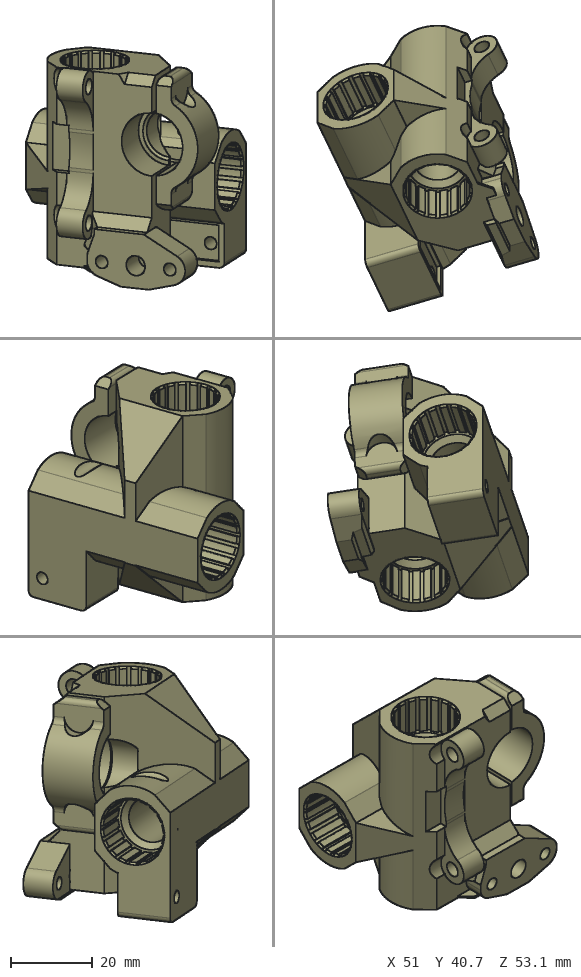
import cadquery as cq
import math


tube_radius = 11.65
tube_flat = 10.0
tube_bevel = 11.25
through_radius = 5.75
socket_radius = 8.45
socket_depth = 10.0
socket_floor_radius = 7.25
rib_count = 18
rib_width = 1.85
rib_height = 0.55

tube_length = 50.0
block_rear = 40.65
tube_y = block_rear - tube_flat
tube_z = 22.3
tube_front = tube_y - tube_flat

block_right = 39.05
block_bottom = 2.3
block_top = 52.35
vertical_y = 16.75
vertical_x = tube_front + tube_bevel * math.sqrt(2) - vertical_y
block_front = vertical_y - tube_flat
wedge_start = vertical_y + tube_flat
wedge_drop = block_rear - wedge_start
wedge_left = 18.3
wedge_right = 21.5
wedge_foot_left = vertical_x - (tube_bevel * math.sqrt(2) - tube_flat)
slope_front = 18.6

gusset_root_half = tube_bevel * math.sqrt(2) - tube_flat
gusset_tip_half = 2.1
bevel_far_y = vertical_y - (tube_bevel - math.sqrt(tube_radius**2 - tube_bevel**2)) / math.sqrt(2)

bore_x = block_right
bore_z = 35.4
bore_radius = 7.95
shoulder_y = 17.55
shoulder_radius = 6.8
relief_radius = 6.1
relief_end = 25.25
tube_notch_y = 22.85
tube_slot_radius = 2.5

clamp_left = 40.0
clamp_outer_radius = 11.95
clamp_front = 7.25
clamp_rear = 20.6
tab_thickness = 4.0
tab_reach = block_top - bore_z
tab_blend = 2.0
tab_round = 1.45
tab_end_drop = 1.9
tab_end_run = 2.4
bolt_offset = 12.55
bolt_seat_radius = 3.9

loop_left = 16.65
loop_width = 6.9
loop_radius = 4.0
loop_hole_radius = 1.94
loop_top_z = 53.15 - loop_radius
loop_bottom_z = 14.55
loop_mid_z = (loop_top_z + loop_bottom_z) / 2
loop_y = loop_radius
web_radius = 10.0
web_arc_offset = 5.395
hollow_radius = 19.4
hollow_depth = 0.55
notch_left = 11.7
notch_right = 17.15
notch_height = 12.1
notch_floor_y = 8.6

corner_left = 30.3
corner_full = 31.9
corner_size = 2.4

lever_front = 1.7
lever_step = 3.8
lever_rear = 9.55
lever_top = 13.85
lever_shoulder_x = 25.9
lever_shoulder_z = 12.45
lever_tip_z = 7.3
lever_hole_z = 5.75
lever_left_x = 27.9
lever_mid_x = 36.9
lever_right_x = 45.9
lever_left_radius = 3.9
lever_right_radius = 4.05
lever_flat_left = 32.95
lever_flat_right = 40.4
pin_hole_radius = 1.6
pivot_hole_radius = 2.5
flare = block_front - lever_step
flare_left_shift = 2.85
flare_tip_rise = 0.7
slot_floor_thickness = 0.55
boss_front = 6.3

foot_left = 32.95
foot_round = 1.5
foot_recess_margin = 1.55
foot_recess_top = 10.85
foot_recess_depth = 1.05


def along_x(x):
    """Sketch plane facing +X: local axes are Y and Z."""
    return cq.Workplane("YZ", origin=(x, 0, 0))


def prism_y(sketch, depth):
    """Extrude an XZ sketch toward +Y."""
    return sketch.extrude(-depth)


def along_y(y):
    """Sketch plane for features running along Y: local axes are X and Z."""
    return cq.Workplane("XZ", origin=(0, y, 0))


def box(x0, x1, y0, y1, z0, z1):
    return cq.Workplane("XY").box(x1 - x0, y1 - y0, z1 - z0, centered=False).translate((x0, y0, z0))


def rod_tube(length):
    """Tube blank along +Z, flats facing +Y and -Y."""
    blank = cq.Workplane("XY").circle(tube_radius).extrude(length)
    flats = cq.Workplane("XY").rect(2 * tube_radius, 2 * tube_flat).extrude(length)
    bevels = cq.Workplane("XY").transformed(rotate=(0, 0, 45)).rect(2 * tube_bevel, 2 * tube_bevel).extrude(length)
    return blank.intersect(flats).intersect(bevels)


def ribbed_socket():
    """Void of one ribbed socket, opening at Z = 0 and going down, with a conical floor."""
    void = cq.Workplane("XY").circle(socket_radius).extrude(-socket_depth)
    rib_inner = socket_radius - rib_height
    ring = (
        cq.Workplane("XY").workplane(offset=-socket_depth)
        .circle(socket_radius + rib_height).circle(rib_inner)
        .extrude(socket_depth)
    )
    lead_in = (
        cq.Workplane("XY").workplane(offset=-rib_height)
        .add(cq.Solid.makeCone(rib_inner, socket_radius, rib_height, cq.Vector(0, 0, -rib_height)))
    )
    ribs = (
        cq.Workplane("XY").workplane(offset=-socket_depth)
        .polarArray(socket_radius, 90, 360, rib_count)
        .rect(4 * rib_height, rib_width)
        .extrude(socket_depth)
        .intersect(ring)
        .cut(lead_in)
    )
    cone_height = socket_floor_radius - through_radius
    cone = cq.Workplane("XY").add(
        cq.Solid.makeCone(through_radius, socket_floor_radius, cone_height,
                          cq.Vector(0, 0, -socket_depth - cone_height))
    )
    return void.cut(ribs).union(cone)


def rod_bore(length):
    """Void along +Z for a whole rod: a through hole with a ribbed socket at each end."""
    hole = cq.Workplane("XY").circle(through_radius).extrude(length)
    top = ribbed_socket().translate((0, 0, length))
    bottom = ribbed_socket().mirror("XY")
    return hole.union(top).union(bottom)


def lay_along_x(body):
    """Turn a body built along +Z onto the horizontal rod axis."""
    return body.rotate((0, 0, 0), (0, 1, 0), 90).translate((0, tube_y, tube_z))


def stand_on_block(body):
    return body.translate((vertical_x, vertical_y, block_bottom))


def main_block():
    height = block_top - block_bottom
    body = stand_on_block(rod_tube(height))
    plan = (
        cq.Workplane("XY", origin=(0, 0, block_bottom))
        .polyline([
            (vertical_x, block_front),
            (block_right, block_front),
            (block_right, slope_front),
            (wedge_right, block_rear),
            (wedge_left, block_rear),
            (wedge_foot_left, wedge_start),
            (vertical_x, vertical_y),
        ])
        .close()
        .extrude(height)
    )
    side = (
        along_x(0)
        .polyline([
            (block_front, block_bottom),
            (wedge_start, block_bottom),
            (block_rear, block_bottom + wedge_drop),
            (block_rear, block_top - wedge_drop),
            (wedge_start, block_top),
            (block_front, block_top),
        ])
        .close()
        .extrude(tube_length)
    )
    body = body.union(plan.intersect(side))
    relief = prism_y(along_y(0).center(bore_x, bore_z).circle(relief_radius), relief_end)
    seat = prism_y(along_y(0).center(bore_x, bore_z).circle(bore_radius), shoulder_y)
    throat_depth = shoulder_radius - relief_radius
    throat = cq.Workplane("XY").add(
        cq.Solid.makeCone(shoulder_radius, relief_radius, throat_depth,
                          cq.Vector(bore_x, shoulder_y, bore_z), cq.Vector(0, 1, 0))
    )
    return body.cut(relief).cut(seat).cut(throat)


def horizontal_tube():
    body = lay_along_x(rod_tube(tube_length))
    notch = prism_y(along_y(0).center(bore_x, bore_z).circle(bore_radius), tube_notch_y)
    slot = prism_y(along_y(0).center(bore_x, bore_z).circle(tube_slot_radius), block_rear)
    return body.cut(notch).cut(slot)


def gusset():
    side = (
        along_x(0)
        .polyline([
            (tube_y, tube_z - gusset_root_half),
            (tube_front, tube_z - gusset_root_half),
            (bevel_far_y, tube_z - gusset_tip_half),
            (bevel_far_y, tube_z + gusset_tip_half),
            (tube_front, tube_z + gusset_root_half),
            (tube_y, tube_z + gusset_root_half),
        ])
        .close()
        .extrude(vertical_x)
    )
    plan = (
        cq.Workplane("XY")
        .polyline([
            (0, tube_front),
            (tube_front - bevel_far_y, bevel_far_y),
            (vertical_x, bevel_far_y),
            (vertical_x, tube_y),
            (0, tube_y),
        ])
        .close()
        .extrude(block_top)
    )
    return side.intersect(plan)


def foot():
    body = box(foot_left, tube_length, wedge_start, block_rear, 0, tube_z)
    body = body.edges("|Y and <Z").fillet(foot_round)
    recess = box(
        foot_left + foot_recess_margin, tube_length - foot_recess_margin,
        wedge_start, wedge_start + foot_recess_depth,
        foot_recess_margin, foot_recess_top,
    )
    return body.cut(recess)


def clip_loops():
    """Two hinge loops joined by a web whose front is scooped by tangent arcs."""
    body = cq.Workplane("XY")
    for z in (loop_bottom_z, loop_top_z):
        body = body.union(along_x(loop_left).center(loop_y, z).circle(loop_radius).extrude(loop_width))
    web = (
        along_x(loop_left)
        .moveTo(loop_y, loop_bottom_z)
        .lineTo(block_front + 0.55, loop_bottom_z)
        .lineTo(block_front + 0.55, loop_top_z)
        .lineTo(loop_y, loop_top_z)
        .lineTo(loop_y - loop_radius / 2, loop_top_z - loop_radius / 2)
        .lineTo(loop_y - loop_radius / 2, loop_bottom_z + loop_radius / 2)
        .close()
        .extrude(loop_width)
    )
    arc_y = block_front - web_radius
    for side in (-1, 1):
        web = web.cut(along_x(loop_left).center(arc_y, loop_mid_z + side * web_arc_offset)
                      .circle(web_radius).extrude(loop_width))
    web = web.cut(box(loop_left, loop_left + loop_width, 0, block_front,
                      loop_mid_z - web_arc_offset, loop_mid_z + web_arc_offset))
    return body.union(web)


def loop_cuts():
    """Pin holes, screw clearance beside the loops, the hollow between them and the side notch."""
    cuts = cq.Workplane("XY")
    for z in (loop_bottom_z, loop_top_z):
        cuts = cuts.union(along_x(0).center(loop_y, z).circle(loop_hole_radius).extrude(loop_left + loop_width))
        cuts = cuts.union(along_x(0).center(loop_y, z).circle(loop_radius).extrude(loop_left))
    hollow_y = block_front + hollow_depth - hollow_radius
    cuts = cuts.union(along_x(loop_left).center(hollow_y, loop_mid_z).circle(hollow_radius).extrude(loop_width)
                      .intersect(box(0, block_right, loop_radius, block_rear, loop_bottom_z + loop_radius * 2,
                                     loop_top_z - loop_radius * 2)))
    return cuts.union(box(notch_left, notch_right, 0, notch_floor_y,
                          loop_mid_z - notch_height / 2, loop_mid_z + notch_height / 2))


def polyhedron(faces):
    """Solid bounded by flat faces, each a list of corner points."""
    sides = [cq.Face.makeFromWires(cq.Wire.makePolygon([cq.Vector(*p) for p in face], close=True))
             for face in faces]
    return cq.Workplane("XY").add(cq.Solid.makeSolid(cq.Shell.makeShell(sides)))


def corner_bevel():
    """Wedge cut from the top front edge, running out to a point at its left end."""
    low = block_top - corner_size
    back = block_front + corner_size
    tip = (corner_left, block_front, block_top)
    left_back = (corner_full, back, block_top)
    left_low = (corner_full, block_front, low)
    right_back = (block_right, back, block_top)
    right_low = (block_right, block_front, low)
    right_corner = (block_right, block_front, block_top)
    return polyhedron([
        [tip, left_back, left_low],
        [left_back, right_back, right_low, left_low],
        [right_back, right_corner, right_low],
        [tip, left_back, right_back, right_corner],
        [tip, left_low, right_low, right_corner],
    ])


def tangent_point(px, pz, cx, cz, radius, side):
    """Point where a line from (px, pz) touches a circle; side picks one of the two."""
    away = math.atan2(pz - cz, px - cx)
    spread = math.acos(radius / math.hypot(px - cx, pz - cz))
    angle = away + side * spread
    return cx + radius * math.cos(angle), cz + radius * math.sin(angle)


def lever_plate():
    left_low = tangent_point(lever_flat_left, 0, lever_left_x, lever_hole_z, lever_left_radius, -1)
    right_low = tangent_point(lever_flat_right, 0, lever_right_x, lever_hole_z, lever_right_radius, 1)
    right_high = tangent_point(block_right, lever_top, lever_right_x, lever_hole_z, lever_right_radius, -1)
    left_end = (lever_left_x - lever_left_radius, lever_hole_z)
    left_mid_angle = math.radians(225)
    left_mid = (lever_left_x + lever_left_radius * math.cos(left_mid_angle),
                lever_hole_z + lever_left_radius * math.sin(left_mid_angle))
    sketch = (
        along_y(lever_front)
        .moveTo(lever_shoulder_x, lever_top)
        .lineTo(lever_shoulder_x, lever_shoulder_z)
        .lineTo(left_end[0], lever_tip_z)
        .lineTo(*left_end)
        .threePointArc(left_mid, left_low)
        .lineTo(lever_flat_left, 0)
        .lineTo(lever_flat_right, 0)
        .lineTo(*right_low)
        .threePointArc((lever_right_x + lever_right_radius, lever_hole_z), right_high)
        .lineTo(block_right, lever_top)
        .close()
    )
    return prism_y(sketch, lever_rear - lever_front)


def lever_flare():
    """Web that widens at 45 degrees from the plate back to the block."""
    left = lever_left_x - lever_left_radius
    narrow = [
        (lever_shoulder_x, lever_step, lever_top),
        (lever_shoulder_x, lever_step, lever_shoulder_z),
        (left, lever_step, lever_tip_z),
        (block_right, lever_step, lever_tip_z),
        (block_right, lever_step, lever_top),
    ]
    wide = [
        (lever_shoulder_x - flare_left_shift, block_front, lever_top + flare),
        (lever_shoulder_x - flare_left_shift, block_front, lever_shoulder_z + flare_tip_rise),
        (left - flare_left_shift, block_front, lever_tip_z + flare_tip_rise),
        (block_right, block_front, lever_tip_z + flare_tip_rise),
        (block_right, block_front, lever_top + flare),
    ]
    wires = [cq.Wire.makePolygon([cq.Vector(*p) for p in loop], close=True) for loop in (narrow, wide)]
    return cq.Workplane("XY").add(cq.Solid.makeLoft(wires, True))


def slot_floor():
    """Thin ledge that closes the bottom of the nut slot between the lever and the block."""
    left = lever_left_x - lever_left_radius
    return (
        cq.Workplane("XY", origin=(0, 0, block_bottom))
        .polyline([
            (left, lever_step),
            (left - flare_left_shift, block_front),
            (lever_left_x, block_front),
            (lever_left_x, lever_step),
        ])
        .close()
        .extrude(slot_floor_thickness)
    )


def lever():
    underside = (
        along_x(0)
        .polyline([(5.6, 0), (6.4, 0.55), (8.75, 0.75), (lever_rear, 1.85), (lever_rear, 0)])
        .close()
        .extrude(tube_length)
    )
    corner = box(0, lever_flat_left, boss_front, lever_rear, 0, block_bottom)
    return lever_plate().cut(underside).cut(corner).union(lever_flare()).union(slot_floor())


def lever_holes():
    holes = cq.Workplane("XY")
    for x, radius, depth in (
        (lever_left_x, pin_hole_radius, lever_rear),
        (lever_mid_x, pivot_hole_radius, lever_rear),
        (lever_right_x, pin_hole_radius, block_rear),
    ):
        holes = holes.union(prism_y(along_y(0).center(x, lever_hole_z).circle(radius), depth))
    return holes


def make_housing():
    body = main_block().union(horizontal_tube()).union(gusset()).union(foot())
    body = body.union(clip_loops()).union(lever())
    body = body.cut(loop_cuts()).cut(corner_bevel()).cut(lever_holes())
    body = body.cut(stand_on_block(rod_bore(block_top - block_bottom)))
    return body.cut(lay_along_x(rod_bore(tube_length).rotate((0, 0, 0), (0, 0, 1), 90)))


def make_clamp():
    depth = clamp_rear - clamp_front
    tab_right = clamp_left + tab_thickness
    ring = prism_y(along_y(clamp_front).center(bore_x, bore_z).circle(clamp_outer_radius), depth)
    tabs = box(clamp_left, tab_right, clamp_front, clamp_rear, bore_z - tab_reach, bore_z + tab_reach)
    tabs = tabs.edges("|Y").fillet(tab_round)
    body = ring.union(tabs)
    corner_rise = math.sqrt(clamp_outer_radius**2 - (tab_right - bore_x)**2)
    for side in (-1, 1):
        corner = (tab_right, (clamp_front + clamp_rear) / 2, bore_z + side * corner_rise)
        body = body.edges(cq.selectors.NearestToPointSelector(corner)).fillet(tab_blend)
    body = body.intersect(box(clamp_left, 2 * tube_length, 0, block_rear, 0, 2 * block_top))
    body = body.cut(prism_y(along_y(0).center(bore_x, bore_z).circle(bore_radius), block_rear))
    low = bore_z - tab_reach
    high = bore_z + tab_reach
    end_outline = (
        along_x(0)
        .polyline([
            (clamp_front, low + tab_end_drop),
            (clamp_front + tab_end_run, low),
            (clamp_rear - tab_end_run, low),
            (clamp_rear, low + tab_end_drop),
            (clamp_rear, high - tab_end_drop),
            (clamp_rear - tab_end_run, high),
            (clamp_front + tab_end_run, high),
            (clamp_front, high - tab_end_drop),
        ])
        .close()
        .extrude(2 * tube_length)
    )
    body = body.intersect(end_outline)
    for side in (-1, 1):
        seat = (
            along_x(tab_right)
            .center((clamp_front + clamp_rear) / 2, bore_z + side * bolt_offset)
            .circle(bolt_seat_radius)
            .extrude(clamp_outer_radius)
        )
        body = body.cut(seat)
    return body


housing = make_housing()
clamp = make_clamp()
result = cq.Compound.makeCompound([housing.val(), clamp.val()])